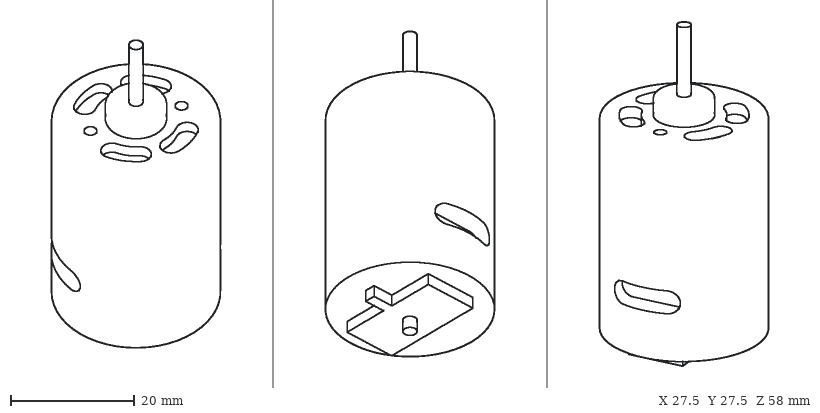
import cadquery as cq
import math

shaft_length = 58.0
plate_bottom = 2.2
body_bottom = 4.3
body_top = 42.0
hub_top = 45.65

body_diameter = 27.5
hub_diameter = 10.0
shaft_diameter = 2.3
edge_radius = 0.7

face_opening_depth = 2.0
mount_hole_diameter = 2.1
mount_hole_offset = 8.0
vent_path_radius = 8.75
vent_end_radius = 1.8
vent_middle_angle = 33.5
vent_half_sweep = 15.5

window_length = 12.2
window_height = 4.05
window_center_z = 14.7
window_depth = 4.0

plate_length = 10.0
plate_width = 19.15
tab_reach = 9.0
tab_width = 2.0


def cylinder(diameter, bottom, top):
    """Cylinder on the Z axis between two heights."""
    return cq.Workplane("XY").workplane(offset=bottom).circle(diameter / 2).extrude(top - bottom)


def polar_point(radius, degrees):
    angle = math.radians(degrees)
    return (radius * math.cos(angle), radius * math.sin(angle))


def vent_cutter(middle_angle):
    """Curved slot with round ends, following a circle about the Z axis."""
    start = middle_angle - vent_half_sweep
    end = middle_angle + vent_half_sweep
    inner = vent_path_radius - vent_end_radius
    outer = vent_path_radius + vent_end_radius
    end_tip = polar_point(vent_path_radius, end)
    start_tip = polar_point(vent_path_radius, start)
    end_direction = polar_point(vent_end_radius, end + 90)
    start_direction = polar_point(vent_end_radius, start - 90)
    return (
        cq.Workplane("XY")
        .workplane(offset=body_top - face_opening_depth)
        .moveTo(*polar_point(outer, start))
        .threePointArc(polar_point(outer, middle_angle), polar_point(outer, end))
        .threePointArc(
            (end_tip[0] + end_direction[0], end_tip[1] + end_direction[1]),
            polar_point(inner, end),
        )
        .threePointArc(polar_point(inner, middle_angle), polar_point(inner, start))
        .threePointArc(
            (start_tip[0] + start_direction[0], start_tip[1] + start_direction[1]),
            polar_point(outer, start),
        )
        .close()
        .extrude(face_opening_depth)
    )


def window_cutter(side):
    """Flat-bottomed window; side is -1 for the front and 1 for the back."""
    floor_y = side * (body_diameter / 2 - window_depth)
    return (
        cq.Workplane("XZ", origin=(0, floor_y, window_center_z))
        .slot2D(window_length, window_height)
        .extrude(-side * body_diameter / 2)
    )


body = cylinder(body_diameter, body_bottom, body_top).faces(">Z").edges().fillet(edge_radius)
hub = cylinder(hub_diameter, body_top, hub_top).faces(">Z").edges().fillet(edge_radius)

for middle_angle in (
    vent_middle_angle,
    180 - vent_middle_angle,
    180 + vent_middle_angle,
    -vent_middle_angle,
):
    body = body.cut(vent_cutter(middle_angle))

for side in (-1, 1):
    mount_hole = cylinder(mount_hole_diameter, body_top - face_opening_depth, body_top)
    body = body.cut(mount_hole.translate((0, side * mount_hole_offset, 0)))
    body = body.cut(window_cutter(side))

plate_thickness = body_bottom - plate_bottom
plate_base = cq.Workplane("XY").workplane(offset=plate_bottom)
plate = plate_base.rect(plate_length, plate_width).extrude(plate_thickness)
tab = plate_base.center(-tab_reach / 2, 0).rect(tab_reach, tab_width).extrude(plate_thickness)

shaft = cylinder(shaft_diameter, 0, shaft_length)

result = body.union(hub).union(plate).union(tab).union(shaft)